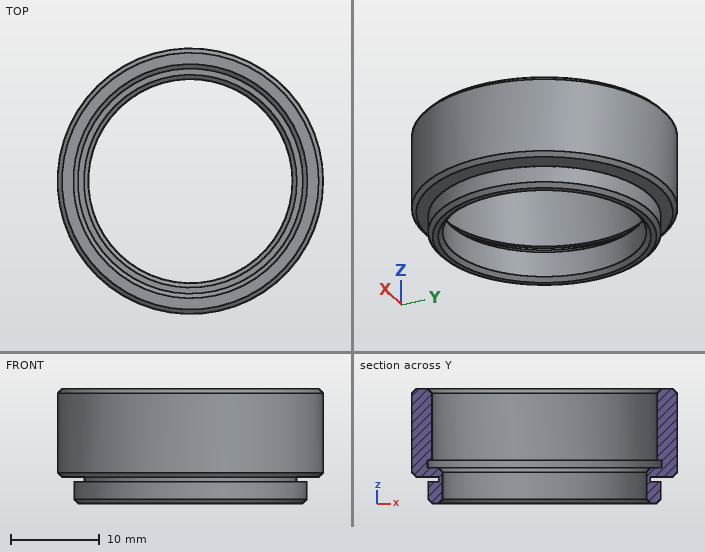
import cadquery as cq

body_diameter = 30.0
body_height = 10.0
spigot_diameter = 26.3
spigot_height = 2.5
neck_diameter = 24.0
neck_height = 0.5
socket_diameter = 25.4
socket_depth = 8.9
relief_diameter = 26.4
relief_height = 0.8
bore_diameter = 23.0
edge_chamfer = 0.5

neck_top = spigot_height + neck_height
total_height = neck_top + body_height
socket_floor = total_height - socket_depth


def disc(diameter, bottom, height):
    """Solid cylinder on the ring axis, starting at the given level."""
    return cq.Workplane("XY").workplane(offset=bottom).circle(diameter / 2).extrude(height)


def chamfered_hole(diameter, bottom, height):
    """Cutter for a hole, flared by the edge chamfer at its upper mouth."""
    flare = cq.Solid.makeCone(
        diameter / 2,
        diameter / 2 + edge_chamfer,
        edge_chamfer,
        pnt=cq.Vector(0, 0, bottom + height - edge_chamfer),
    )
    return disc(diameter, bottom, height).union(cq.Workplane("XY").add(flare))


spigot = disc(spigot_diameter, 0, spigot_height).faces("<Z").edges().chamfer(edge_chamfer)
neck = disc(neck_diameter, spigot_height, neck_height)
body = disc(body_diameter, neck_top, body_height).edges("%CIRCLE").chamfer(edge_chamfer)
outside = spigot.union(neck).union(body)

upper_bore = chamfered_hole(bore_diameter, 0, socket_floor)
lower_bore = upper_bore.mirror("XY", (0, 0, socket_floor / 2))
socket = chamfered_hole(socket_diameter, socket_floor, socket_depth)
relief = disc(relief_diameter, socket_floor, relief_height)

result = outside.cut(upper_bore).cut(lower_bore).cut(socket).cut(relief)